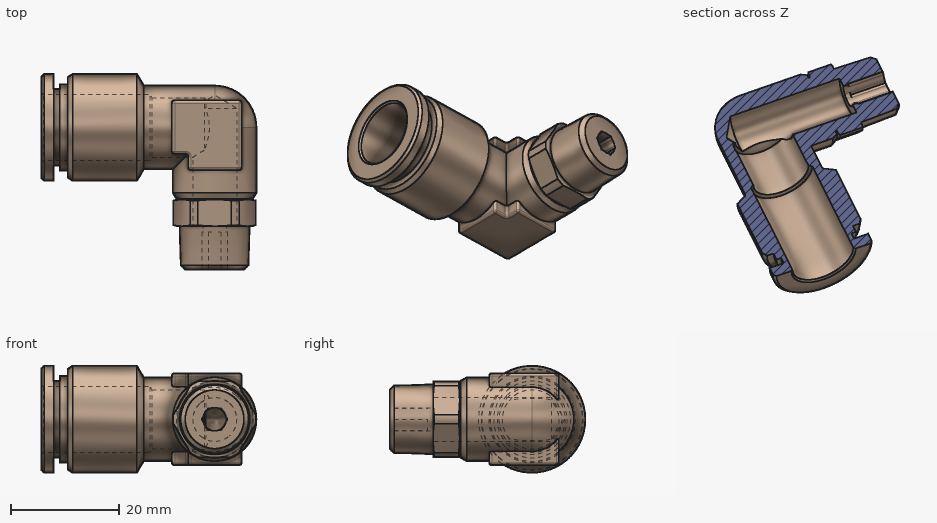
import cadquery as cq
import math


elbow_radius = 7.75
pad_height = 8.5
pad_near = -7.9
pad_far = 5.0
pad_notch = 3.0
pad_edge_radius = 0.5

tube_end = -32.0
sleeve_radius = 9.9
collar_width = 2.25
collar_chamfer = 0.5
neck_radius = 7.1
neck_length = 1.15
shoulder_radius = 8.0
shoulder_length = 1.45
sleeve_chamfer_length = 0.95
sleeve_chamfer_depth = 0.6
sleeve_end = -13.1
sleeve_taper_length = 1.25

leg_taper_start = 12.05
leg_taper_end = 13.18
leg_end_radius = 7.1
hex_start = 13.35
hex_end = 18.25
thread_end = 26.3
hex_across_flats = 14.0
hex_corner_radius = 7.65
hex_chamfer_radius = 6.95
hex_chamfer_length = 0.18
thread_radius = 6.5
thread_taper = 1 / 32
thread_chamfer = 0.85

drill_slope = math.tan(math.radians(59))
mouth_radius = 6.45
mouth_chamfer = 0.35
tube_bore_radius = mouth_radius - mouth_chamfer
tube_stop = -12.0
inner_bore_radius = 5.5
inner_bore_end = -1.95
cross_bore_radius = 4.05
cross_bore_end = 3.57
outlet_radius = 2.15
socket_across_flats = 4.1
socket_depth = 7.0


def turned_about_x(points):
    """Solid of revolution about X from (x, radius) points that start and end on the axis."""
    return cq.Workplane("XY").polyline(points).close().revolve(360, (0, 0), (1, 0))


def turned_about_y(points):
    """Solid of revolution about Y from (distance along -Y, radius) points that start and end on the axis."""
    outline = [(radius, -distance) for distance, radius in points]
    return cq.Workplane("XY").polyline(outline).close().revolve(360, (0, 0), (0, 1))


def hexagon_along_y(across_flats, start, end):
    """Hexagonal prism along -Y with flats facing +Z and -Z."""
    across_corners = across_flats / math.cos(math.pi / 6)
    plane = cq.Workplane("XZ").workplane(offset=start)
    return plane.polygon(6, across_corners).extrude(end - start)


def make_tube_leg():
    collar_end = tube_end + collar_width
    neck_end = collar_end + neck_length
    sleeve_start = neck_end + shoulder_length
    return turned_about_x([
        (tube_end, 0),
        (tube_end, sleeve_radius - collar_chamfer),
        (tube_end + collar_chamfer, sleeve_radius),
        (collar_end, sleeve_radius),
        (collar_end, neck_radius),
        (neck_end, neck_radius),
        (neck_end, shoulder_radius),
        (sleeve_start, shoulder_radius),
        (sleeve_start, sleeve_radius - sleeve_chamfer_depth),
        (sleeve_start + sleeve_chamfer_length, sleeve_radius),
        (sleeve_end - sleeve_taper_length, sleeve_radius),
        (sleeve_end, elbow_radius),
        (0, elbow_radius),
        (0, 0),
    ])


def make_threaded_leg():
    chamfer_start = thread_end - thread_chamfer
    thread_small_radius = thread_radius - (chamfer_start - hex_end) * thread_taper
    return turned_about_y([
        (0, 0),
        (0, elbow_radius),
        (leg_taper_start, elbow_radius),
        (leg_taper_end, leg_end_radius),
        (leg_taper_end, thread_radius),
        (hex_end, thread_radius),
        (chamfer_start, thread_small_radius),
        (thread_end, thread_small_radius - thread_chamfer),
        (thread_end, 0),
    ])


def make_hexagon():
    corner_limit = turned_about_y([
        (hex_start, 0),
        (hex_start, hex_chamfer_radius),
        (hex_start + hex_chamfer_length, hex_corner_radius),
        (hex_end - hex_chamfer_length, hex_corner_radius),
        (hex_end, hex_chamfer_radius),
        (hex_end, 0),
    ])
    return hexagon_along_y(hex_across_flats, hex_start, hex_end).intersect(corner_limit)


def make_pads():
    """One notched square block through the elbow; its two ends stand out as the pads."""
    notch_corner = pad_near + pad_notch
    outline = [
        (pad_near, pad_far),
        (pad_far, pad_far),
        (pad_far, pad_near),
        (notch_corner, pad_near),
        (notch_corner, notch_corner),
        (pad_near, notch_corner),
    ]
    block = cq.Workplane("XY").workplane(offset=-pad_height).polyline(outline).close().extrude(2 * pad_height)
    return block.edges().fillet(pad_edge_radius)


def make_tube_bore():
    stop_length = (tube_bore_radius - inner_bore_radius) / drill_slope
    return turned_about_x([
        (tube_end, 0),
        (tube_end, mouth_radius),
        (tube_end + mouth_chamfer, tube_bore_radius),
        (tube_stop, tube_bore_radius),
        (tube_stop + stop_length, inner_bore_radius),
        (inner_bore_end, inner_bore_radius),
        (inner_bore_end + inner_bore_radius / drill_slope, 0),
    ])


def make_outlet_bore():
    """Cross bore with a drill point beyond the elbow centre, narrowing to the outlet in the thread."""
    point_length = cross_bore_radius / drill_slope
    return turned_about_y([
        (-cross_bore_end - point_length, 0),
        (-cross_bore_end, cross_bore_radius),
        (hex_end, cross_bore_radius),
        (hex_end, outlet_radius),
        (thread_end, outlet_radius),
        (thread_end, 0),
    ])


body = make_tube_leg()
body = body.union(make_threaded_leg())
body = body.union(cq.Workplane("XY").sphere(elbow_radius))
body = body.union(make_hexagon())
body = body.union(make_pads())

body = body.cut(make_tube_bore())
body = body.cut(make_outlet_bore())
result = body.cut(hexagon_along_y(socket_across_flats, thread_end - socket_depth, thread_end))